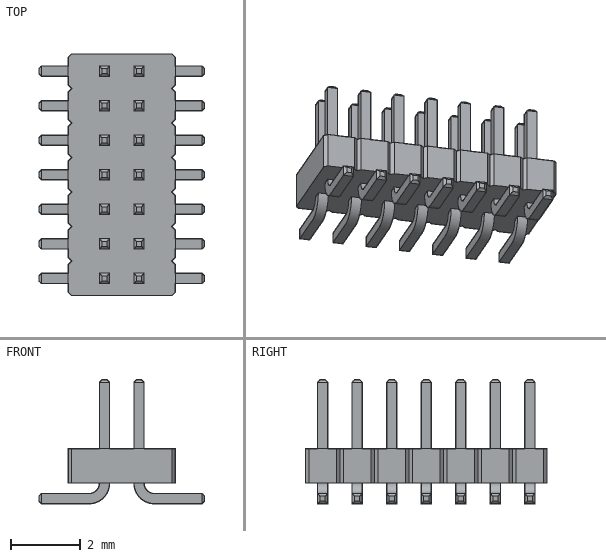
import cadquery as cq

pins_per_row = 7
body_length = 7
pitch = body_length / pins_per_row
row_offset = pitch / 2

foot_span = 4.8
total_height = 3.6

body_width = 3.1
body_height = pitch
notch_depth = 0.1

pin_width = 0.3
bend_inner_radius = 0.3
bend_outer_radius = bend_inner_radius + pin_width
tip_chamfer = 0.08
standoff = bend_outer_radius


def make_body():
    """One chamfered block per pitch; neighbouring chamfers meet as V-notches."""
    blocks = (
        cq.Workplane("XY")
        .workplane(offset=standoff)
        .rarray(0.07, pitch, 1, pins_per_row)
        .rect(body_width, pitch)
        .extrude(body_height, combine=False)
    )
    return blocks.edges("|Z").chamfer(notch_depth).combine()


def make_pin():
    """Contact of the +X row at Y = 0: upright post bent outward into a flat foot."""
    inner_x = row_offset - pin_width / 2
    outer_x = row_offset + pin_width / 2
    bend_end_x = outer_x + bend_inner_radius
    foot_end_x = foot_span / 2
    outline = (
        cq.Workplane("XZ")
        .moveTo(inner_x, total_height)
        .lineTo(inner_x, standoff)
        .radiusArc((bend_end_x, 0), -bend_outer_radius)
        .lineTo(foot_end_x, 0)
        .lineTo(foot_end_x, pin_width)
        .lineTo(bend_end_x, pin_width)
        .radiusArc((outer_x, standoff), bend_inner_radius)
        .lineTo(outer_x, total_height)
        .close()
    )
    pin = outline.extrude(pin_width / 2, both=True)
    return pin.faces(">Z or >X").chamfer(tip_chamfer)


result = make_body()
right_pin = make_pin()
left_pin = right_pin.mirror("YZ")
for index in range(pins_per_row):
    pin_y = (index - (pins_per_row - 1) / 2) * pitch
    for pin in (left_pin, right_pin):
        result = result.union(pin.translate((0, pin_y, 0)))